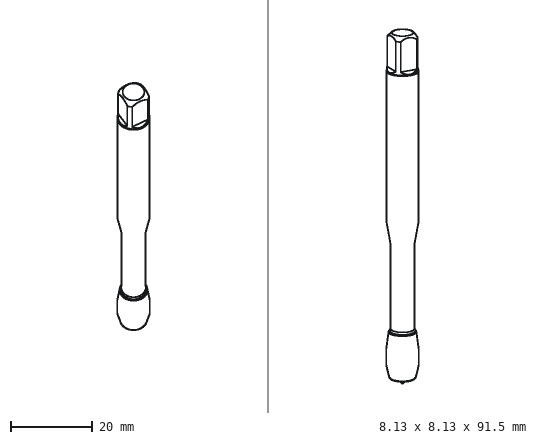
import cadquery as cq

total_length = 91.55
tip_height = 1.55
head_end = tip_height
top = total_length

shank_diameter = 8.0
neck_diameter = 6.0
drive_end_length = 10.0
shank_end_length = 49.2
taper_end_length = 55.0
shank_top = top - drive_end_length
taper_top = top - shank_end_length
taper_bottom = top - taper_end_length

square_sides = 4
square_width = 6.2
square_corner_diameter = 7.68
square_length = 9.0
top_face_diameter = 5.36

head_diameter = 8.13
head_length = 12.9
head_top = head_end + head_length
head_collar_diameter = 6.4
collar_height = 0.55
head_collar_bottom = head_top - collar_height
head_back_diameter = 6.9
back_chamfer_height = 0.3
head_back_shoulder = head_collar_bottom - back_chamfer_height
back_cone_height = 4.65
head_full_top = head_back_shoulder - back_cone_height
full_band_height = 3.9
head_full_bottom = head_full_top - full_band_height
head_nose_diameter = 6.65
head_nose_chamfer = 0.3


def revolve_profile(points):
    """Turn a profile of (radius, height) points about the Z axis."""
    return cq.Workplane("XZ").polyline(points).close().revolve(360, (0, 0, 0), (0, 1, 0))


def make_flat_cutter():
    """Material milled off the +X side of the square, running out at 45 degrees."""
    flat = square_width / 2
    reach = shank_diameter
    bottom = top - square_length
    profile = [
        (flat, top),
        (flat, bottom),
        (flat + reach, bottom - reach),
        (flat + reach, top),
    ]
    return cq.Workplane("XZ").polyline(profile).close().extrude(reach, both=True)


def make_shank():
    """Turned shank and neck with the drive square milled on its upper end."""
    corner_radius = square_corner_diameter / 2
    shank_radius = shank_diameter / 2
    neck_radius = neck_diameter / 2
    face_radius = top_face_diameter / 2
    shank = revolve_profile([
        (0, top),
        (face_radius, top),
        (corner_radius, top - (corner_radius - face_radius)),
        (corner_radius, shank_top + (shank_radius - corner_radius)),
        (shank_radius, shank_top),
        (shank_radius, taper_top),
        (neck_radius, taper_bottom),
        (neck_radius, head_top),
        (0, head_top),
    ])
    cutter = make_flat_cutter()
    for side in range(square_sides):
        shank = shank.cut(cutter.rotate((0, 0, 0), (0, 0, 1), 360 / square_sides * side))
    return shank


def make_head():
    """Barrel-shaped head with a 90 degree centre point below it."""
    head_radius = head_diameter / 2
    nose_radius = head_nose_diameter / 2
    tip_radius = tip_height
    return revolve_profile([
        (0, head_top),
        (neck_diameter / 2, head_top),
        (head_collar_diameter / 2, head_collar_bottom),
        (head_back_diameter / 2, head_back_shoulder),
        (head_radius, head_full_top),
        (head_radius, head_full_bottom),
        (nose_radius, head_end + head_nose_chamfer),
        (nose_radius - head_nose_chamfer, head_end),
        (tip_radius, head_end),
        (0, 0),
    ])


shank = make_shank()
head = make_head()

result = cq.Compound.makeCompound([shank.val(), head.val()])